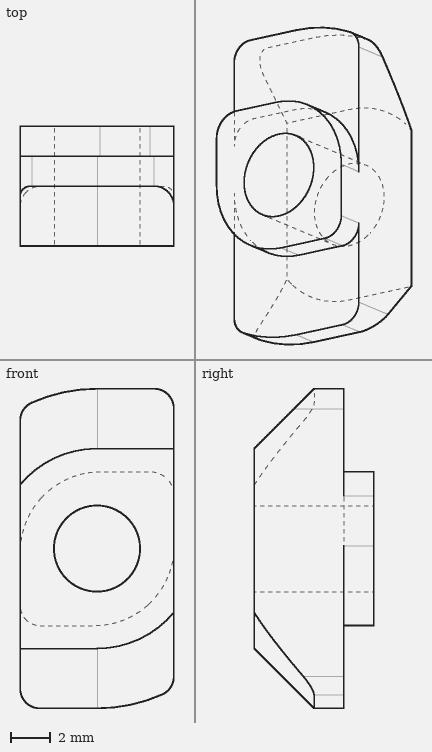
import cadquery as cq
import math


WIDTH = 7.7
HEAD_LENGTH = 16.0
HEAD_THICKNESS = 4.5
RIM_THICKNESS = 1.5
NECK_HEIGHT = 1.5
HOLE_DIAMETER = 4.3
HEAD_CORNER_RADIUS = 1.0
NECK_TURN_RADIUS = 4.0
NECK_UPPER_STOP_RADIUS = 1.2
NECK_LOWER_STOP_RADIUS = 1.0

half_width = WIDTH / 2
half_length = HEAD_LENGTH / 2
bevel = HEAD_THICKNESS - RIM_THICKNESS
front_half_length = half_length - bevel
round_end_side_z = math.sqrt(half_length**2 - half_width**2)


def half_turn(body):
    """Copy of a body turned by 180 degrees about the hole axis."""
    return body.rotate((0, 0, 0), (0, 1, 0), 180)


def make_head_block():
    """Unbevelled head: each end is square on one side and an arc about the hole on the other."""
    block = (
        cq.Workplane("XZ")
        .moveTo(half_width, half_length)
        .lineTo(0, half_length)
        .radiusArc((-half_width, round_end_side_z), -half_length)
        .lineTo(-half_width, -half_length)
        .lineTo(0, -half_length)
        .radiusArc((half_width, -round_end_side_z), -half_length)
        .close()
        .extrude(HEAD_THICKNESS)
    )
    return block.edges("|Y").edges("<X or >X").fillet(HEAD_CORNER_RADIUS)


def draw_bevel_section(plane):
    """Lengthwise half section of the bevelled head, from the hole axis out to the upper end."""
    return (
        cq.Workplane(plane)
        .lineTo(-HEAD_THICKNESS, 0)
        .lineTo(-HEAD_THICKNESS, front_half_length)
        .lineTo(-RIM_THICKNESS, half_length)
        .lineTo(0, half_length)
        .close()
    )


def make_bevel_envelope():
    """Cone for the round ends, joined with a flat-bevelled prism for each square end."""
    cone = draw_bevel_section("YZ").revolve(360, (0, 0, 0), (1, 0, 0))
    upper_prism = draw_bevel_section("YZ").extrude(half_width)
    return cone.union(upper_prism).union(half_turn(upper_prism))


def make_neck():
    """Square neck with two large turning corners and two small stop corners."""
    neck = cq.Workplane("XZ").rect(WIDTH, WIDTH).extrude(-NECK_HEIGHT)
    corners = [
        ("<X", ">Z", NECK_TURN_RADIUS),
        (">X", "<Z", NECK_TURN_RADIUS),
        (">X", ">Z", NECK_UPPER_STOP_RADIUS),
        ("<X", "<Z", NECK_LOWER_STOP_RADIUS),
    ]
    for side, end, radius in corners:
        neck = neck.edges("|Y").edges(side).edges(end).fillet(radius)
    return neck


def make_hole():
    """Cylinder through the head and the neck."""
    return (
        cq.Workplane("XZ", origin=(0, NECK_HEIGHT, 0))
        .circle(HOLE_DIAMETER / 2)
        .extrude(NECK_HEIGHT + HEAD_THICKNESS)
    )


head = make_head_block().intersect(make_bevel_envelope())
result = head.union(make_neck()).cut(make_hole())